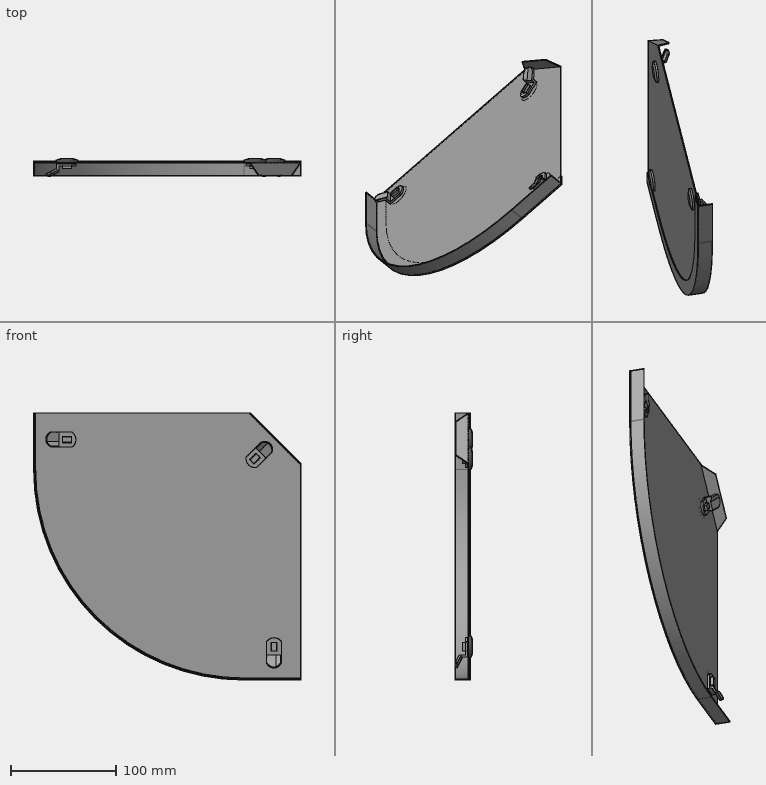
import cadquery as cq
import math

cover_size = 254.0
cover_thickness = 1.0
corner_cut = 48.0

rim_radius = 200.0
rim_thickness = 1.0
rim_leg = 14.29
cover_clearance = 1.0
cover_inset = rim_thickness + cover_clearance

flange_thickness = 1.0
flange_height = 12.7
flange_depth = flange_height - cover_thickness
flange_overhang = 0.11
flange_end_angle = 45.0

rivet_head_radius = 10.3
rivet_head_rim = 1.8
rivet_head_height = 3.3
rivet_top_radius = 6.0
shank_length = 8.35
shank_width = 5.0
shank_reach = 5.3

latch_thickness = 2.0
latch_width = 14.0
latch_gap = 0.75
latch_hole_width = 6.0
pad_end_radius = 8.5
leg_inner = 7.8
leg_outer = leg_inner + latch_thickness
leg_depth = 5.05
tab_slope = 28.0
tab_reach = 20.2
fold_offset = 2.0
fold_angle = 25.0
tab_end_radius = 7.5

pivot_edge_gap = 25.4
pivot_end_gap = 31.75
corner_pivot_gap = 43.5
pivots = [
    (pivot_end_gap, cover_size - pivot_edge_gap, 0),
    (cover_size - pivot_edge_gap, pivot_end_gap, 90),
    (cover_size - corner_pivot_gap, cover_size - corner_pivot_gap, -135),
]

margin = 50.0


def front_plane(y):
    """Sketch plane with local axes X and Z at the given Y; it extrudes toward -Y."""
    return cq.Workplane("XZ", origin=(0, y, 0))


def round_arc_middle(inset):
    """Middle point of the round corner, moved inward by inset."""
    middle = rim_radius - (rim_radius - inset) * math.sqrt(0.5)
    return (middle, middle)


def rim_strip(inner_inset, rear, front):
    """Strip from the outer edge of the rim inward to an inset, between two Y values."""
    return (
        front_plane(rear)
        .moveTo(0, cover_size)
        .lineTo(0, rim_radius)
        .threePointArc(round_arc_middle(0), (rim_radius, 0))
        .lineTo(cover_size, 0)
        .lineTo(cover_size, inner_inset)
        .lineTo(rim_radius, inner_inset)
        .threePointArc(round_arc_middle(inner_inset), (inner_inset, rim_radius))
        .lineTo(inner_inset, cover_size)
        .close()
        .extrude(rear - front)
    )


def place(body, pivot):
    """Turn a body about the pivot axis and move it to the pivot."""
    x, z, turn = pivot
    return body.rotate((0, 0, 0), (0, -1, 0), turn).translate((x, 0, z))


def pivot_block(width, rear, front):
    """Rectangular block on the pivot axis, as long as the shank, between two Y values."""
    return front_plane(rear).rect(shank_length, width).extrude(rear - front)


def make_cover():
    outline = (
        front_plane(cover_thickness)
        .moveTo(cover_inset, cover_size)
        .lineTo(cover_inset, rim_radius)
        .threePointArc(round_arc_middle(cover_inset), (rim_radius, cover_inset))
        .lineTo(cover_size, cover_inset)
        .lineTo(cover_size, cover_size - corner_cut)
        .lineTo(cover_size - corner_cut, cover_size)
        .close()
    )
    cover = outline.extrude(cover_thickness).union(make_flange())
    for pivot in pivots:
        cover = cover.cut(place(pivot_block(shank_width, cover_thickness, 0), pivot))
    return cover


def make_flange():
    """Trapezoid wall standing forward on the cut corner."""
    middle = cover_size - corner_cut / 2
    half_base = corner_cut * math.sqrt(0.5) + flange_overhang * math.sqrt(2)
    half_top = half_base - flange_depth * math.tan(math.radians(flange_end_angle))
    plane = cq.Plane(origin=(middle, 0, middle), xDir=(1, 0, -1), normal=(-1, 0, -1))
    return (
        cq.Workplane(plane)
        .polyline([
            (-half_base, -cover_thickness / 2),
            (half_base, -cover_thickness / 2),
            (half_top, flange_depth),
            (-half_top, flange_depth),
        ])
        .close()
        .extrude(flange_thickness)
    )


def make_rim():
    rear = cover_thickness + rim_thickness
    wall = rim_strip(rim_thickness, rear, rear - rim_leg)
    lip = rim_strip(rim_leg, rear, cover_thickness)
    return wall.union(lip)


def make_rivet():
    head = (
        cq.Workplane("XY")
        .moveTo(0, cover_thickness)
        .lineTo(rivet_head_radius, cover_thickness)
        .lineTo(rivet_head_radius, cover_thickness + rivet_head_rim)
        .lineTo(rivet_top_radius, cover_thickness + rivet_head_height)
        .lineTo(0, cover_thickness + rivet_head_height)
        .close()
        .revolve(360, (0, 0, 0), (0, 1, 0))
    )
    return head.union(pivot_block(shank_width, cover_thickness, -shank_reach))


def folded_prism(rear, front):
    """Bar along the tab: a strip between two depths, its lower side folded forward."""
    slope = math.radians(tab_slope)
    plane = cq.Plane(
        origin=(-leg_outer, -leg_depth, 0),
        xDir=(0, 0, 1),
        normal=(-math.cos(slope), -math.sin(slope), 0),
    )
    fold = math.radians(fold_angle)
    half_fold = math.tan(fold / 2)
    fold_width = latch_width / 2 - fold_offset
    side = latch_width / 2

    def fold_points(depth):
        start = -fold_offset + (depth - latch_thickness) * half_fold
        base_z = -fold_offset - latch_thickness * half_fold
        end_z = base_z - fold_width * math.cos(fold) + depth * math.sin(fold)
        end_y = -fold_width * math.sin(fold) - depth * math.cos(fold)
        return (start, -depth), (end_z, end_y)

    rear_fold, rear_end = fold_points(rear)
    front_fold, front_end = fold_points(front)
    return (
        cq.Workplane(plane)
        .polyline([(side, -rear), rear_fold, rear_end, front_end, front_fold, (side, -front)])
        .close()
        .extrude(margin, both=True)
    )


def make_tab_outline():
    """Clipping block for the tab: full width with a rounded tip, square to the tab."""
    slope = math.radians(tab_slope)
    length = (tab_reach - leg_outer) / math.cos(slope)
    side = latch_width / 2
    shoulder = length - tab_end_radius + math.sqrt(tab_end_radius**2 - side**2)
    plane = cq.Plane(
        origin=(-leg_outer, -leg_depth, 0),
        xDir=(-math.cos(slope), -math.sin(slope), 0),
        normal=(math.sin(slope), -math.cos(slope), 0),
    )
    return (
        cq.Workplane(plane)
        .moveTo(-margin, -side)
        .lineTo(shoulder, -side)
        .threePointArc((length, 0), (shoulder, side))
        .lineTo(-margin, side)
        .close()
        .extrude(margin, both=True)
    )


def make_pad():
    """Flat pad, its free end round about the pivot, with the hole for the shank."""
    side = latch_width / 2
    shoulder = math.sqrt(pad_end_radius**2 - side**2)
    pad = (
        front_plane(-latch_gap)
        .moveTo(-leg_outer, -side)
        .lineTo(shoulder, -side)
        .threePointArc((pad_end_radius, 0), (shoulder, side))
        .lineTo(-leg_outer, side)
        .close()
        .extrude(latch_thickness)
    )
    return pad.cut(pivot_block(latch_hole_width, 0, -margin))


def make_latch():
    side = latch_width / 2
    leg = (
        front_plane(-latch_gap)
        .moveTo(-leg_outer, -side)
        .lineTo(-leg_inner, -side)
        .lineTo(-leg_inner, side)
        .lineTo(-leg_outer, side)
        .close()
        .extrude(margin)
        .intersect(folded_prism(-margin, latch_thickness))
    )
    beyond_leg = cq.Workplane("XY").box(margin, margin, margin).translate((-leg_inner - margin / 2, 0, 0))
    tab = folded_prism(0, latch_thickness).intersect(make_tab_outline()).intersect(beyond_leg)
    return make_pad().union(leg).union(tab)


cover = make_cover()
rim = make_rim()
rivet = make_rivet()
latch = make_latch()
rivets = [place(rivet, pivot) for pivot in pivots]
latches = [place(latch, pivot) for pivot in pivots]

result = cq.Compound.makeCompound(
    [cover.val(), rim.val()]
    + [rivet_copy.val() for rivet_copy in rivets]
    + [latch_copy.val() for latch_copy in latches]
)